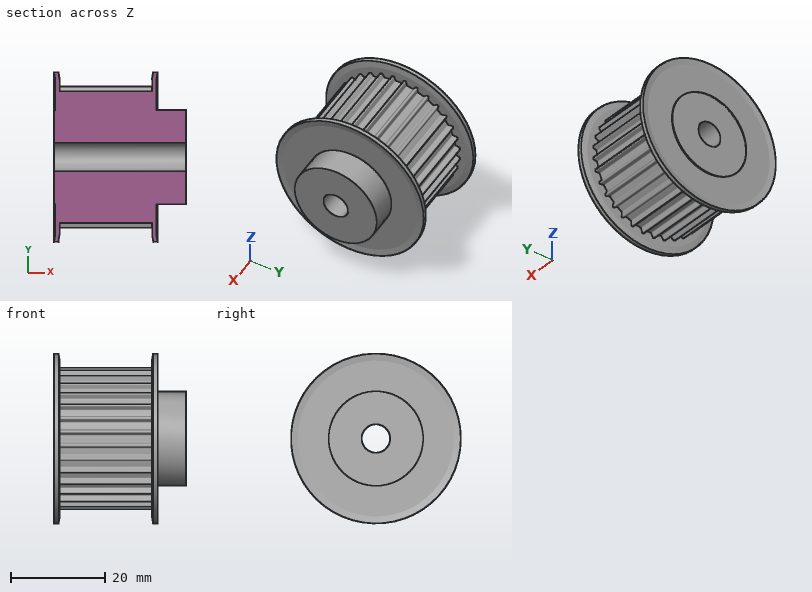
import cadquery as cq
import math

rim_to_rim = 22.0
hub_projection = 6.0
hub_length = rim_to_rim + hub_projection
hub_radius = 10.0
bore_radius = 3.0

flange_radius = 18.0
flange_flat_radius = 16.5
flange_thickness = 1.0
dish_depth = 0.25

tooth_count = 32
tip_radius = 15.05
root_radius = 13.95
groove_floor_width = 1.5
flank_angle = 25.0
tooth_fillet = 0.25
cutter_clearance = 0.72


def cylinder(radius, start_x, end_x):
    """Solid cylinder on the X axis between two stations."""
    return cq.Workplane("YZ", origin=(start_x, 0, 0)).circle(radius).extrude(end_x - start_x)


def dished_flange(rim_x, inward):
    """Flange with its outer rim edge at rim_x; inward (+1 or -1) points toward the teeth."""
    web_x = rim_x + inward * dish_depth
    step = inward * flange_thickness
    half_section = [
        (web_x, 0),
        (web_x, flange_flat_radius),
        (rim_x, flange_radius),
        (rim_x + step, flange_radius),
        (web_x + step, flange_flat_radius),
        (web_x + step, 0),
    ]
    return cq.Workplane("XY").polyline(half_section).close().revolve(360, (0, 0, 0), (1, 0, 0))


def groove_cutter(start_x, end_x):
    """Straight-sided groove opening toward +Y, with its floor on the root circle."""
    floor_half = groove_floor_width / 2
    floor_y = math.sqrt(root_radius**2 - floor_half**2)
    mouth_y = tip_radius + cutter_clearance
    mouth_half = floor_half + (mouth_y - floor_y) * math.tan(math.radians(flank_angle))
    return (
        cq.Workplane("YZ", origin=(start_x, 0, 0))
        .moveTo(mouth_y, -mouth_half)
        .lineTo(floor_y, -floor_half)
        .threePointArc((root_radius, 0), (floor_y, floor_half))
        .lineTo(mouth_y, mouth_half)
        .close()
        .extrude(end_x - start_x)
    )


def toothed_rim():
    """Belt teeth between the flange webs, rounded at the tips and the roots."""
    start_x = dish_depth + flange_thickness
    end_x = rim_to_rim - start_x
    rim = cylinder(tip_radius, start_x, end_x)
    cutter = groove_cutter(start_x, end_x)
    for index in range(tooth_count):
        rim = rim.cut(cutter.rotate((0, 0, 0), (1, 0, 0), index * 360 / tooth_count))
    return rim.edges("|X").fillet(tooth_fillet)


hub = cylinder(hub_radius, 0, hub_length)
bore = cylinder(bore_radius, 0, hub_length)

result = (
    toothed_rim()
    .union(dished_flange(0, 1))
    .union(dished_flange(rim_to_rim, -1))
    .union(hub)
    .cut(bore)
)